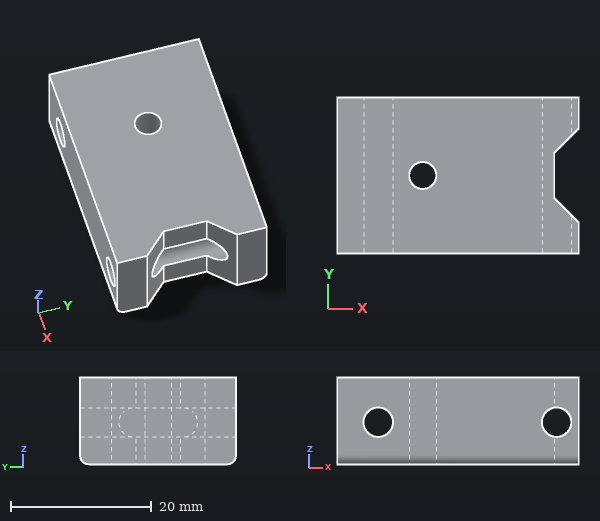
import cadquery as cq

length = 34.4
width = 22.2
height = 12.38
bottom_edge_radius = 1.3

notch_depth = 3.47
notch_floor_width = 6.4
notch_mouth_width = notch_floor_width + 2 * notch_depth

cross_hole_diameter = 4.15
cross_hole_positions = (5.85, 31.23)
cross_hole_height = 6.02

vertical_hole_diameter = 3.82
vertical_hole_position = 12.17

centre_y = width / 2


def make_block():
    """Block with its two long bottom edges rounded."""
    block = cq.Workplane("XY").box(length, width, height, centered=False)
    return block.faces("<Z").edges("|X").fillet(bottom_edge_radius)


def make_notch():
    """Trapezoidal notch through the full height, narrowing inward."""
    floor_x = length - notch_depth
    outline = [
        (length, centre_y - notch_mouth_width / 2),
        (length, centre_y + notch_mouth_width / 2),
        (floor_x, centre_y + notch_floor_width / 2),
        (floor_x, centre_y - notch_floor_width / 2),
    ]
    return cq.Workplane("XY").polyline(outline).close().extrude(height)


def make_cross_holes():
    """Cylinders through the full width."""
    centres = [(x, cross_hole_height) for x in cross_hole_positions]
    return cq.Workplane("XZ").pushPoints(centres).circle(cross_hole_diameter / 2).extrude(-width)


def make_vertical_hole():
    """Cylinder through the full height."""
    centre = (vertical_hole_position, centre_y)
    return cq.Workplane("XY").center(*centre).circle(vertical_hole_diameter / 2).extrude(height)


result = make_block().cut(make_notch()).cut(make_cross_holes()).cut(make_vertical_hole())